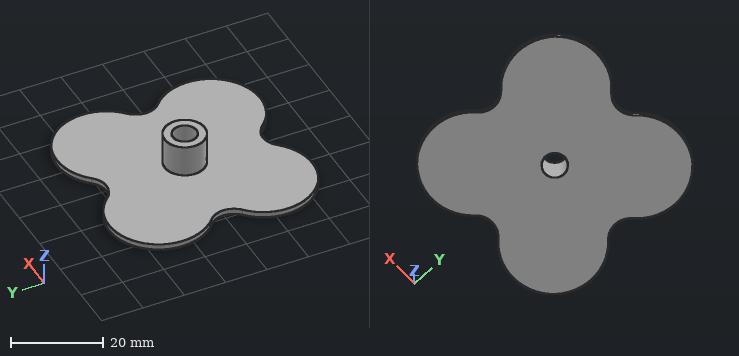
import cadquery as cq
import math

plate_width = 49.2
total_height = 9.2
plate_thickness = 1.5

lobe_radius = 11.95
lobe_offset = plate_width / 2 - lobe_radius
valley_distance = 18.95

hub_diameter = 9.65
bore_diameter = 5.65

valley_depth = valley_distance - lobe_offset
notch_radius = (lobe_offset**2 + valley_depth**2 - lobe_radius**2) / (2 * (lobe_radius - valley_depth))
notch_center = valley_distance + notch_radius

tangent_fraction = lobe_radius / (lobe_radius + notch_radius)
tangent_x = lobe_offset * (1 - tangent_fraction)
tangent_y = lobe_offset + (notch_center - lobe_offset) * tangent_fraction
lobe_tip = lobe_offset + lobe_radius / math.sqrt(2)


def quarter_turns(point, turns):
    """Rotate a point clockwise about the origin by a number of quarter turns."""
    x, y = point
    for _ in range(turns):
        x, y = y, -x
    return x, y


def make_plate():
    """Flat plate with four round lobes blended by concave notches."""
    outline = cq.Workplane("XY").moveTo(-tangent_x, tangent_y)
    for turn in range(4):
        valley = quarter_turns((0, valley_distance), turn)
        lobe_start = quarter_turns((tangent_x, tangent_y), turn)
        tip = quarter_turns((lobe_tip, lobe_tip), turn)
        lobe_end = quarter_turns((tangent_y, tangent_x), turn)
        outline = outline.threePointArc(valley, lobe_start).threePointArc(tip, lobe_end)
    return outline.close().extrude(plate_thickness)


def make_hub():
    """Round hub standing on the plate."""
    return cq.Workplane("XY").circle(hub_diameter / 2).extrude(total_height)


def make_bore():
    """Through hole along the hub axis."""
    return cq.Workplane("XY").circle(bore_diameter / 2).extrude(total_height)


result = make_plate().union(make_hub()).cut(make_bore())